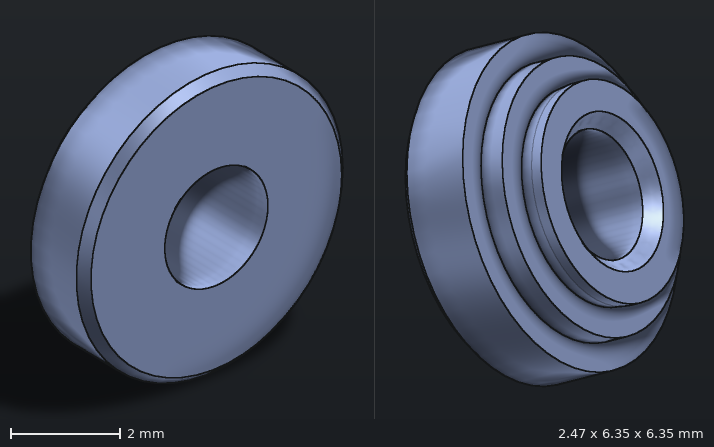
import cadquery as cq

total_length = 2.47
flange_diameter = 6.35
shoulder_diameter = 5.27
spigot_diameter = 4.2
bore_diameter = 2.46
bore_mouth_diameter = 3.0

spigot_land_length = 0.23
spigot_length = 0.48
shoulder_length = 0.495
chamfer_length = 0.19

undercut_depth = 0.03
chamfer_depth = 0.19

flange_start = spigot_length + shoulder_length
flange_radius = flange_diameter / 2
shoulder_radius = shoulder_diameter / 2
spigot_radius = spigot_diameter / 2
bore_radius = bore_diameter / 2
bore_mouth_radius = bore_mouth_diameter / 2
countersink_depth = bore_mouth_radius - bore_radius

half_section = (
    cq.Workplane("XY")
    .moveTo(countersink_depth, bore_radius)
    .lineTo(0, bore_mouth_radius)
    .lineTo(0, spigot_radius)
    .lineTo(spigot_land_length, spigot_radius)
    .lineTo(spigot_length, spigot_radius - undercut_depth)
    .lineTo(spigot_length, shoulder_radius)
    .lineTo(flange_start, shoulder_radius)
    .lineTo(flange_start, flange_radius)
    .lineTo(total_length - chamfer_length, flange_radius)
    .lineTo(total_length, flange_radius - chamfer_depth)
    .lineTo(total_length, bore_radius)
    .close()
)

result = half_section.revolve(360, (0, 0, 0), (1, 0, 0))